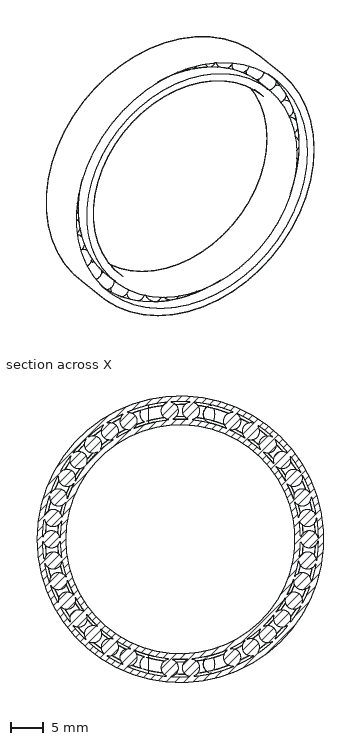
import cadquery as cq
import math

outer_radius = 22.0
bore_radius = 17.5
width = 7.0
edge_round = 0.25

ball_count = 38
ball_radius = 1.35
pitch_radius = (outer_radius + bore_radius) / 2

inner_land_radius = 18.85
outer_land_radius = 2 * pitch_radius - inner_land_radius

seat_depth = 0.02
groove_radius = ball_radius - seat_depth

half_width = width / 2


def revolve_about_x(profile):
    """Revolve a profile drawn in the XY plane (Y is the radius) about the X axis."""
    return profile.close().revolve(360, (0, 0, 0), (1, 0, 0))


def groove_half_width(land_radius):
    """Axial distance from the ball centre plane to where the raceway meets a land."""
    return math.sqrt(groove_radius**2 - (land_radius - pitch_radius) ** 2)


def make_outer_ring():
    """Outer ring, bored out to the bottom of its raceway on the -X side."""
    groove_bottom = pitch_radius + groove_radius
    groove_edge = groove_half_width(outer_land_radius)
    return revolve_about_x(
        cq.Workplane("XY")
        .moveTo(-half_width, groove_bottom)
        .lineTo(0, groove_bottom)
        .radiusArc((groove_edge, outer_land_radius), groove_radius)
        .lineTo(half_width, outer_land_radius)
        .lineTo(half_width, outer_radius - edge_round)
        .radiusArc((half_width - edge_round, outer_radius), -edge_round)
        .lineTo(-half_width + edge_round, outer_radius)
        .radiusArc((-half_width, outer_radius - edge_round), -edge_round)
    )


def make_inner_ring():
    """Inner ring, with equal shoulders on both sides of its raceway."""
    groove_bottom = pitch_radius - groove_radius
    groove_edge = groove_half_width(inner_land_radius)
    return revolve_about_x(
        cq.Workplane("XY")
        .moveTo(-half_width, inner_land_radius)
        .lineTo(-groove_edge, inner_land_radius)
        .threePointArc((0, groove_bottom), (groove_edge, inner_land_radius))
        .lineTo(half_width, inner_land_radius)
        .lineTo(half_width, bore_radius + edge_round)
        .radiusArc((half_width - edge_round, bore_radius), edge_round)
        .lineTo(-half_width + edge_round, bore_radius)
        .radiusArc((-half_width, bore_radius + edge_round), edge_round)
    )


def make_balls():
    """Balls evenly spaced on the pitch circle, the first one on the +Y axis."""
    balls = []
    for index in range(ball_count):
        angle = 2 * math.pi * index / ball_count
        center = (0, pitch_radius * math.cos(angle), pitch_radius * math.sin(angle))
        balls.append(cq.Workplane("XY").sphere(ball_radius).translate(center).val())
    return balls


outer_ring = make_outer_ring().val()
inner_ring = make_inner_ring().val()
result = cq.Workplane("XY").newObject([outer_ring.fuse(inner_ring, *make_balls())])